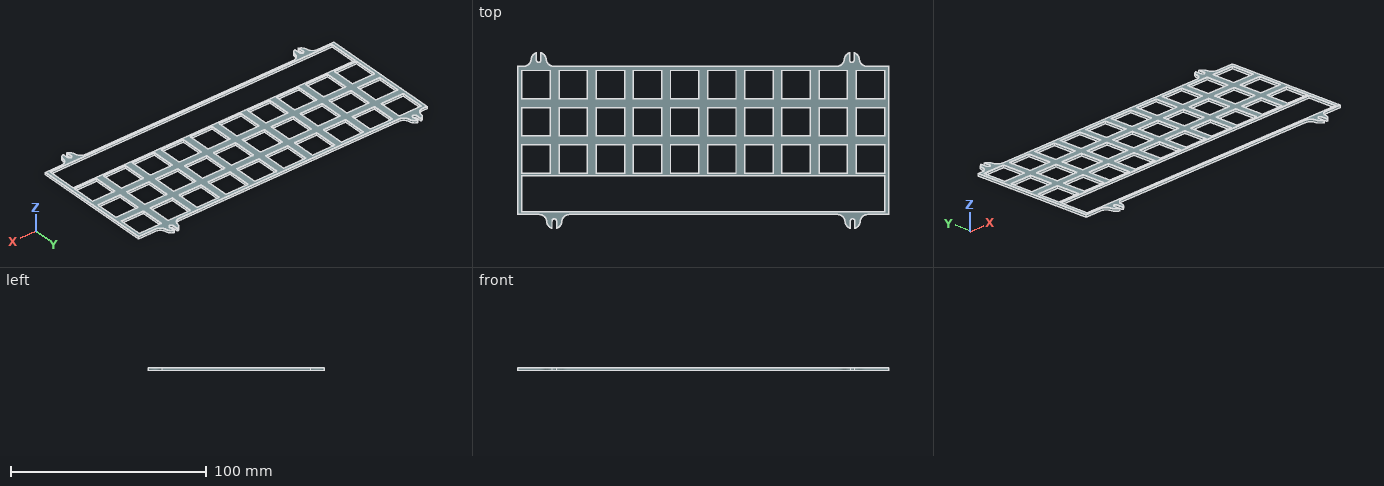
import cadquery as cq
import math

pitch = 19.0
columns = 10
key_rows = 3
thickness = 1.5
top_chamfer = 0.23
plate_length = columns * pitch
plate_width = (key_rows + 1) * pitch

key_opening = 14.3
bar_margin = 1.5
bar_rib = 1.5

slot_width = 2.1
ear_radius = 4.0
ear_fillet = 3.8
ear_reach = 7.0
ear_shift = 0.1
ear_offset = ear_reach - math.sqrt(ear_radius ** 2 - (slot_width / 2) ** 2)
front_ear_places = (-76.4, 76.5)
back_ear_places = (-84.4, 76.2)


def make_ear(centre_y):
    """Round ear on the edge y = 0, pointing to +Y, with its round end centred at centre_y."""
    blend_rise = ear_fillet - centre_y
    blend_x = math.sqrt((ear_radius + ear_fillet) ** 2 - blend_rise ** 2)
    tangent_share = ear_radius / (ear_radius + ear_fillet)
    tangent_x = blend_x * tangent_share
    tangent_y = centre_y + blend_rise * tangent_share

    start_angle = -math.pi / 2
    end_angle = -math.pi + math.atan2(blend_rise, blend_x)
    middle_angle = (start_angle + end_angle) / 2
    middle_x = blend_x + ear_fillet * math.cos(middle_angle)
    middle_y = ear_fillet + ear_fillet * math.sin(middle_angle)

    root = -bar_margin
    body = (
        cq.Workplane("XY")
        .moveTo(blend_x, root)
        .lineTo(blend_x, 0)
        .threePointArc((middle_x, middle_y), (tangent_x, tangent_y))
        .threePointArc((0, centre_y + ear_radius), (-tangent_x, tangent_y))
        .threePointArc((-middle_x, middle_y), (-blend_x, 0))
        .lineTo(-blend_x, root)
        .close()
        .extrude(thickness)
    )

    half_slot = slot_width / 2
    slot_end = centre_y + 2 * ear_radius
    slot = (
        cq.Workplane("XY")
        .moveTo(half_slot, slot_end)
        .lineTo(half_slot, centre_y)
        .threePointArc((0, centre_y - half_slot), (-half_slot, centre_y))
        .lineTo(-half_slot, slot_end)
        .close()
        .extrude(thickness)
    )
    return body.cut(slot)


result = cq.Workplane("XY").box(plate_length, plate_width, thickness, centered=(True, True, False))
back_ear = make_ear(ear_offset - ear_shift)
for x in back_ear_places:
    result = result.union(back_ear.translate((x, plate_width / 2, 0)))
front_ear = make_ear(ear_offset + ear_shift).mirror("XZ")
for x in front_ear_places:
    result = result.union(front_ear.translate((x, -plate_width / 2, 0)))

key_centres = [
    ((column + 0.5) * pitch - plate_length / 2, plate_width / 2 - (row + 0.5) * pitch)
    for column in range(columns)
    for row in range(key_rows)
]
keys = cq.Workplane("XY").pushPoints(key_centres).rect(key_opening, key_opening).extrude(thickness)
result = result.cut(keys)

cell_margin = (pitch - key_opening) / 2
bar_length = plate_length - 2 * cell_margin
bar_bottom = bar_margin - plate_width / 2
bar_top = pitch + cell_margin - bar_rib - plate_width / 2
bar = (
    cq.Workplane("XY")
    .center(0, (bar_bottom + bar_top) / 2)
    .rect(bar_length, bar_top - bar_bottom)
    .extrude(thickness)
)
result = result.cut(bar)

result = result.faces(">Z").chamfer(top_chamfer)